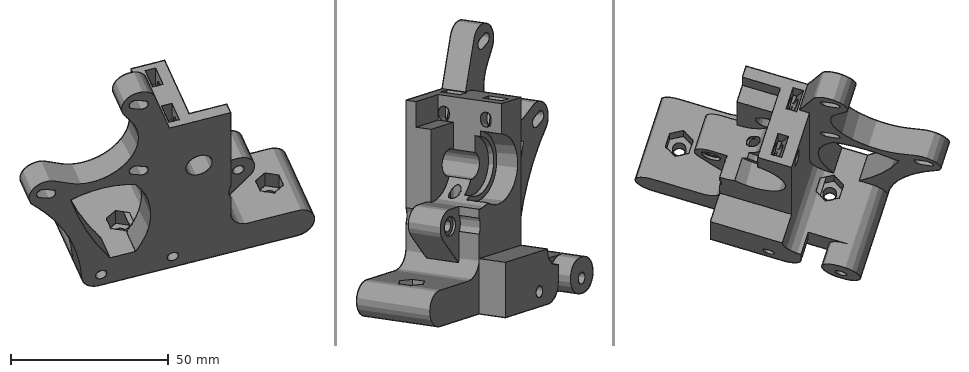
import cadquery as cq
import math


WIDTH = 38.0
COLUMN_X = 10.0
COLUMN_DEPTH = 23.9
COLUMN_TOP = 66.0
PLATE_X = 29.0

BASE_REAR = 52.0
BASE_FRONT = -26.0
BASE_HEIGHT = 11.8
BASE_FRONT_X = 7.8
FRONT_LUG_LENGTH = 12.9

BLOCK_TOP = 18.0
FOOT_RADIUS = BLOCK_TOP - BASE_HEIGHT

MOTOR_Y = -22.43
MOTOR_Z = 65.15
MOTOR_CLEARANCE_RADIUS = 15.4
MOTOR_SCREW_SPACING = 31.0
LOBE_RADIUS = 5.75
SLOT_WIDTH = 3.7
SLOT_TRAVEL = 3.0
SLOT_ANGLE = 25.0
REAR_EDGE_ANGLE = 16.4
FRONT_EDGE_RADIUS = 65.0
FRONT_EDGE_START_ANGLE = 222.0

OPENING_TOP_REAR = (-8.0, 43.4)
OPENING_TOP_FRONT = (-29.6, 43.8)
OPENING_BOTTOM_FRONT = (-16.5, BASE_HEIGHT)
OPENING_BOTTOM_REAR = (-8.0, BASE_HEIGHT)
OPENING_TOP_MIDDLE = (-19.4, 45.6)
OPENING_FRONT_MIDDLE = (-26.6, 33.2)
OPENING_REAR_MIDDLE = (-2.9, 27.5)

SHAFT_Y = 13.3
SHAFT_Z = 45.0
SHAFT_DIAMETER = 8.8
BEARING_RADIUS = 11.3
BEARING_DEPTH = 8.0
SHOULDER_RADIUS = 9.6
SHOULDER_DEPTH = 2.0

IDLER_RADIUS = 11.0
IDLER_WALL_Y = 11.3
IDLER_END_X = 28.3
LEDGE_END_X = 34.1
LEDGE_Z = 57.7

HINGE_Y = 29.2
HINGE_Z = 28.5
HINGE_RADIUS = 5.5
HINGE_START_X = 17.6
HINGE_END_X = 29.8
HINGE_HOLE_DIAMETER = 3.8
HINGE_RECESS_DIAMETER = 6.3
HINGE_RECESS_DEPTH = 1.0
HINGE_CLEARANCE_RADIUS = 5.9

IDLER_SCREW_XS = (15.9, 31.9)
IDLER_SCREW_Z = 60.4
IDLER_SCREW_DIAMETER = 4.1
IDLER_SCREW_TILT = 16.0
NUT_TRAP_WIDTH = 7.3
NUT_TRAP_FRONT_Y = 4.0
NUT_TRAP_REAR_Y = 7.5

FILAMENT_X = 23.9
FILAMENT_Y = 16.67
FILAMENT_DIAMETER = 3.5
FILAMENT_ENTRY_OFFSET = 0.8
FILAMENT_ENTRY_Z = 34.0
MOUNT_HOLE_OFFSET = 25.0
MOUNT_HOLE_DIAMETER = 4.3
MOUNT_NUT_FLATS = 7.8
MOUNT_NUT_DEPTH = 6.0

CROSS_HOLE_YS = (4.5, -19.5)
CROSS_HOLE_Z = 4.95
CROSS_HOLE_DIAMETER = 3.75


def box(x0, x1, y0, y1, z0, z1):
    """Box between two opposite corners."""
    return cq.Workplane("XY").box(x1 - x0, y1 - y0, z1 - z0, centered=False).translate((x0, y0, z0))


def side_plane(x):
    """Workplane at X = x whose local axes are Y and Z."""
    return cq.Workplane("YZ", origin=(x, 0, 0))


def rod(x0, x1, y, z, radius):
    """Cylinder along X."""
    return side_plane(x0).center(y, z).circle(radius).extrude(x1 - x0)


def upright(x, y, z0, z1, diameter):
    """Cylinder along Z."""
    return cq.Workplane("XY", origin=(x, y, z0)).circle(diameter / 2).extrude(z1 - z0)


def on_circle(center, radius, degrees):
    """Point (Y, Z) on a circle, its angle counted from +Y towards +Z."""
    angle = math.radians(degrees)
    return (center[0] + radius * math.cos(angle), center[1] + radius * math.sin(angle))


def rounded_bar(x0, x1, y0, y1):
    """Bar of base height with fully rounded ends in Y."""
    length = y1 - y0
    middle = (y0 + y1) / 2
    return side_plane(x0).center(middle, BASE_HEIGHT / 2).slot2D(length, BASE_HEIGHT).extrude(x1 - x0)


def make_base():
    rear = rounded_bar(COLUMN_X, WIDTH, BASE_FRONT, BASE_REAR)
    front = rounded_bar(BASE_FRONT_X, WIDTH, BASE_FRONT, COLUMN_DEPTH / 2)
    lug = rounded_bar(0, WIDTH, BASE_FRONT, BASE_FRONT + FRONT_LUG_LENGTH)
    return rear.union(front).union(lug)


def make_foot_block():
    """Block beside the column with a rounded lower front edge and a concave upper front edge."""
    corner_radius = BASE_HEIGHT / 2
    corner = on_circle((-FOOT_RADIUS + corner_radius, corner_radius), corner_radius, 225)
    return (
        side_plane(0)
        .moveTo(COLUMN_DEPTH, 0)
        .lineTo(COLUMN_DEPTH, BLOCK_TOP)
        .lineTo(0, BLOCK_TOP)
        .threePointArc(on_circle((-FOOT_RADIUS, BLOCK_TOP), FOOT_RADIUS, -45), (-FOOT_RADIUS, BASE_HEIGHT))
        .lineTo(-FOOT_RADIUS, corner_radius)
        .threePointArc(corner, (-FOOT_RADIUS + corner_radius, 0))
        .close()
        .extrude(PLATE_X)
    )


def make_rear_fillet():
    center = (COLUMN_DEPTH + FOOT_RADIUS, BLOCK_TOP)
    return (
        side_plane(COLUMN_X)
        .moveTo(COLUMN_DEPTH, BASE_HEIGHT)
        .lineTo(COLUMN_DEPTH, BLOCK_TOP)
        .threePointArc(on_circle(center, FOOT_RADIUS, 225), (center[0], BASE_HEIGHT))
        .close()
        .extrude(WIDTH - COLUMN_X)
    )


def make_hinge():
    """Hinge lug: round eye on a web with a level top and a 45 degree underside."""
    eye = (HINGE_Y, HINGE_Z)
    underside = on_circle(eye, HINGE_RADIUS, -45)
    drop = underside[0] - COLUMN_DEPTH
    return (
        side_plane(HINGE_START_X)
        .moveTo(COLUMN_DEPTH, HINGE_Z + HINGE_RADIUS)
        .lineTo(HINGE_Y, HINGE_Z + HINGE_RADIUS)
        .threePointArc(on_circle(eye, HINGE_RADIUS, 0), underside)
        .lineTo(COLUMN_DEPTH, underside[1] - drop)
        .close()
        .extrude(HINGE_END_X - HINGE_START_X)
    )


def make_motor_plate():
    motor = (MOTOR_Y, MOTOR_Z)
    half = MOTOR_SCREW_SPACING / 2
    upper = (MOTOR_Y + half, MOTOR_Z + half)
    lower = (MOTOR_Y - half, MOTOR_Z - half)
    middle = (MOTOR_Y + half, MOTOR_Z - half)

    swing = math.degrees(math.acos((LOBE_RADIUS + MOTOR_CLEARANCE_RADIUS) / math.hypot(half, half)))
    upper_tangent = 225 - swing
    lower_tangent = 45 + swing
    edge_top = on_circle(upper, LOBE_RADIUS, REAR_EDGE_ANGLE)
    foot_z = BASE_HEIGHT / 2
    edge_foot = (edge_top[0] + (edge_top[1] - foot_z) * math.tan(math.radians(REAR_EDGE_ANGLE)), foot_z)

    plate = (
        side_plane(PLATE_X)
        .moveTo(*edge_foot)
        .lineTo(*edge_top)
        .threePointArc(
            on_circle(upper, LOBE_RADIUS, (REAR_EDGE_ANGLE + upper_tangent) / 2),
            on_circle(upper, LOBE_RADIUS, upper_tangent),
        )
        .lineTo(*on_circle(motor, MOTOR_CLEARANCE_RADIUS, upper_tangent - 180))
        .threePointArc(
            on_circle(motor, MOTOR_CLEARANCE_RADIUS, -45),
            on_circle(motor, MOTOR_CLEARANCE_RADIUS, lower_tangent - 180),
        )
        .lineTo(*on_circle(lower, LOBE_RADIUS, lower_tangent))
        .threePointArc(
            on_circle(lower, LOBE_RADIUS, (lower_tangent + FRONT_EDGE_START_ANGLE) / 2),
            on_circle(lower, LOBE_RADIUS, FRONT_EDGE_START_ANGLE),
        )
        .radiusArc((BASE_FRONT, foot_z), FRONT_EDGE_RADIUS)
        .close()
        .extrude(WIDTH - PLATE_X)
    )
    opening = (
        side_plane(PLATE_X)
        .moveTo(*OPENING_BOTTOM_REAR)
        .threePointArc(OPENING_REAR_MIDDLE, OPENING_TOP_REAR)
        .threePointArc(OPENING_TOP_MIDDLE, OPENING_TOP_FRONT)
        .threePointArc(OPENING_FRONT_MIDDLE, OPENING_BOTTOM_FRONT)
        .close()
        .extrude(WIDTH - PLATE_X)
    )
    slots = (
        side_plane(PLATE_X)
        .pushPoints([upper, middle, lower])
        .slot2D(SLOT_TRAVEL + SLOT_WIDTH, SLOT_WIDTH, -SLOT_ANGLE)
        .extrude(WIDTH - PLATE_X)
    )
    return plate.cut(opening).cut(slots)


def idler_pocket():
    """Round idler space, the open space above it and the shallower ledge beside it."""
    roller = rod(COLUMN_X, IDLER_END_X, COLUMN_DEPTH, HINGE_Z + HINGE_RADIUS + IDLER_RADIUS, IDLER_RADIUS)
    above = box(COLUMN_X, IDLER_END_X, IDLER_WALL_Y, COLUMN_DEPTH, SHAFT_Z, COLUMN_TOP)
    ledge = box(COLUMN_X, LEDGE_END_X, IDLER_WALL_Y, COLUMN_DEPTH, LEDGE_Z, COLUMN_TOP)
    return roller.union(above).union(ledge)


def shaft_bore():
    seat_end = COLUMN_X + BEARING_DEPTH
    seat = rod(COLUMN_X, seat_end, SHAFT_Y, SHAFT_Z, BEARING_RADIUS)
    shoulder = rod(COLUMN_X, seat_end + SHOULDER_DEPTH, SHAFT_Y, SHAFT_Z, SHOULDER_RADIUS)
    bore = rod(COLUMN_X, WIDTH, SHAFT_Y, SHAFT_Z, SHAFT_DIAMETER / 2)
    return seat.union(shoulder).union(bore)


def hinge_cuts():
    """Pin hole, its recess, and room for the idler's hinge eyes beside the lug."""
    hole = rod(HINGE_START_X, HINGE_END_X, HINGE_Y, HINGE_Z, HINGE_HOLE_DIAMETER / 2)
    recess_end = HINGE_START_X + HINGE_RECESS_DEPTH
    recess = rod(HINGE_START_X, recess_end, HINGE_Y, HINGE_Z, HINGE_RECESS_DIAMETER / 2)
    near_side = rod(COLUMN_X, HINGE_START_X, HINGE_Y, HINGE_Z, HINGE_CLEARANCE_RADIUS)
    far_side = rod(HINGE_END_X, WIDTH, HINGE_Y, HINGE_Z, HINGE_CLEARANCE_RADIUS)
    return hole.union(recess).union(near_side).union(far_side)


def idler_screw_slot(x):
    """Screw path that fans downward from the level position to the tilted one."""
    radius = IDLER_SCREW_DIAMETER / 2
    pivot = (x, SHAFT_Y, IDLER_SCREW_Z)
    level = cq.Workplane("XZ", origin=pivot).circle(radius).extrude(SHAFT_Y)
    tilted = cq.Workplane("XZ", origin=pivot).circle(radius).extrude(COLUMN_DEPTH)
    tilted = tilted.rotate(pivot, (x + 1, SHAFT_Y, IDLER_SCREW_Z), IDLER_SCREW_TILT)
    fall = SHAFT_Y * math.tan(math.radians(IDLER_SCREW_TILT))
    between = (
        side_plane(x - radius)
        .polyline([(SHAFT_Y, IDLER_SCREW_Z), (0, IDLER_SCREW_Z), (0, IDLER_SCREW_Z - fall)])
        .close()
        .extrude(IDLER_SCREW_DIAMETER)
    )
    in_column = box(x - radius, x + radius, 0, COLUMN_DEPTH, BLOCK_TOP, COLUMN_TOP)
    return level.union(tilted).union(between).intersect(in_column)


def nut_trap(x):
    """Trap open at the top, pointed at the bottom, with a front wall tilted like the screw."""
    half = NUT_TRAP_WIDTH / 2
    rise = half * math.tan(math.radians(30))
    side_z = IDLER_SCREW_Z - rise
    tip_z = side_z - rise
    lean = (COLUMN_TOP - tip_z) * math.tan(math.radians(IDLER_SCREW_TILT))
    front_outline = [
        (x - half, COLUMN_TOP),
        (x - half, side_z),
        (x, tip_z),
        (x + half, side_z),
        (x + half, COLUMN_TOP),
    ]
    side_outline = [
        (NUT_TRAP_FRONT_Y, COLUMN_TOP),
        (NUT_TRAP_REAR_Y, COLUMN_TOP),
        (NUT_TRAP_REAR_Y, tip_z),
        (NUT_TRAP_FRONT_Y + lean, tip_z),
    ]
    pointed = cq.Workplane("XZ").polyline(front_outline).close().extrude(-COLUMN_DEPTH)
    leaning = side_plane(x - half).polyline(side_outline).close().extrude(NUT_TRAP_WIDTH)
    return pointed.intersect(leaning)


def mount_hole(y):
    """Vertical screw hole with a hexagonal nut recess in the top of the base."""
    hole = upright(FILAMENT_X, y, 0, BASE_HEIGHT, MOUNT_HOLE_DIAMETER)
    floor = cq.Workplane("XY", origin=(FILAMENT_X, y, BASE_HEIGHT - MOUNT_NUT_DEPTH))
    corner_diameter = MOUNT_NUT_FLATS / math.cos(math.radians(30))
    return hole.union(floor.polygon(6, corner_diameter).extrude(MOUNT_NUT_DEPTH))


def filament_path():
    bore = upright(FILAMENT_X, FILAMENT_Y, 0, SHAFT_Z, FILAMENT_DIAMETER)
    entry_y = FILAMENT_Y + FILAMENT_ENTRY_OFFSET
    entry = upright(FILAMENT_X, entry_y, FILAMENT_ENTRY_Z, SHAFT_Z, FILAMENT_DIAMETER)
    return bore.union(entry)


body = box(COLUMN_X, WIDTH, 0, COLUMN_DEPTH, 0, COLUMN_TOP)
body = body.union(make_motor_plate())
body = body.union(make_base())
body = body.union(make_foot_block())
body = body.union(make_rear_fillet())
body = body.union(make_hinge())

body = body.cut(idler_pocket()).cut(shaft_bore()).cut(hinge_cuts()).cut(filament_path())
for screw_x in IDLER_SCREW_XS:
    body = body.cut(idler_screw_slot(screw_x)).cut(nut_trap(screw_x))
for side in (1, -1):
    body = body.cut(mount_hole(FILAMENT_Y + side * MOUNT_HOLE_OFFSET))
for hole_y in CROSS_HOLE_YS:
    body = body.cut(rod(0, WIDTH, hole_y, CROSS_HOLE_Z, CROSS_HOLE_DIAMETER / 2))

result = body